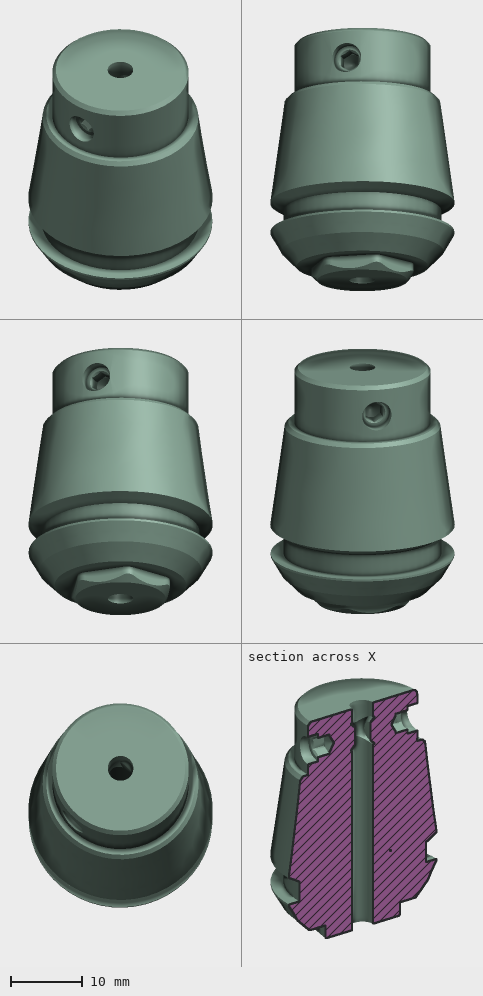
import cadquery as cq
import math

total_height = 34.0
body_bottom = 2.0
rim_corner_height = 4.15
rim_top = 7.0
sleeve_bottom = 10.0
sleeve_top = 26.0

top_diameter = 19.0
top_chamfer = 0.5
sleeve_top_radius = 10.85
sleeve_max_radius = 12.85
sleeve_chamfer = 0.5
neck_diameter = 22.0
rim_diameter = 25.6
rim_corner_radius = 11.32
bevel_angle = 30.0

hex_across_flats = 13.0
hex_corner_radius = 1.55
hex_bottom_radius = 6.3

bore_diameter = 3.57

screw_height = 29.68
screw_diameter = 4.15
screw_recess = 1.75
screw_tip_gap = 2.62
screw_tip_diameter = 2.72

socket_countersink = 3.05
socket_across_flats = 2.5
socket_depth = 2.0
socket_point_angle = 118.0


def turned_body():
    top_radius = top_diameter / 2
    neck_radius = neck_diameter / 2
    rim_radius = rim_diameter / 2
    slope = math.tan(math.radians(bevel_angle))
    sleeve_edge_height = sleeve_bottom + (sleeve_max_radius - neck_radius) * slope
    rim_edge_height = rim_corner_height + (rim_radius - rim_corner_radius) / slope
    bottom_radius = rim_corner_radius - (rim_corner_height - body_bottom)
    profile = [
        (0, body_bottom),
        (bottom_radius, body_bottom),
        (rim_corner_radius, rim_corner_height),
        (rim_radius, rim_edge_height),
        (rim_radius, rim_top),
        (neck_radius, rim_top),
        (neck_radius, sleeve_bottom),
        (sleeve_max_radius, sleeve_edge_height),
        (sleeve_top_radius, sleeve_top - sleeve_chamfer),
        (sleeve_top_radius - sleeve_chamfer, sleeve_top),
        (top_radius, sleeve_top),
        (top_radius, total_height - top_chamfer),
        (top_radius - top_chamfer, total_height),
        (0, total_height),
    ]
    return cq.Workplane("XZ").polyline(profile).close().revolve(360, (0, 0), (0, 1))


def hexagon():
    corner_diameter = hex_across_flats / math.cos(math.radians(30))
    prism = (
        cq.Workplane("XY")
        .polygon(6, corner_diameter)
        .extrude(body_bottom)
        .edges("|Z")
        .fillet(hex_corner_radius)
    )
    chamfer_cone = (
        cq.Workplane("XY")
        .circle(hex_bottom_radius)
        .extrude(body_bottom, taper=-45)
    )
    return prism.intersect(chamfer_cone)


def axial_bore():
    return cq.Workplane("XY").circle(bore_diameter / 2).extrude(total_height)


def revolve_about_y(profile):
    return cq.Workplane("XY").polyline(profile).close().revolve(360, (0, 0), (0, 1))


def screw_hole():
    """Plain hole for the -Y screw, from the cylinder surface to the bore axis."""
    return cq.Workplane("XZ").circle(screw_diameter / 2).extrude(top_diameter / 2)


def screw_socket(outer_end):
    socket_radius = socket_across_flats / 2
    countersink_radius = socket_countersink / 2
    socket_end = outer_end + socket_depth
    point_depth = socket_radius / math.tan(math.radians(socket_point_angle / 2))
    countersink = revolve_about_y(
        [(0, outer_end), (countersink_radius, outer_end), (0, outer_end + countersink_radius)]
    )
    hex_hole = (
        cq.Workplane("XZ", origin=(0, socket_end, 0))
        .transformed(rotate=(0, 0, 90))
        .polygon(6, socket_across_flats / math.cos(math.radians(30)))
        .extrude(socket_depth)
    )
    drill_point = revolve_about_y(
        [(0, socket_end), (socket_radius, socket_end), (0, socket_end + point_depth)]
    )
    return hex_hole.union(countersink).union(drill_point)


def set_screw():
    """The -Y screw, with its axis on Y."""
    outer_end = screw_recess - top_diameter / 2
    inner_end = -screw_tip_gap / 2
    radius = screw_diameter / 2
    tip_radius = screw_tip_diameter / 2
    cone_start = inner_end - (radius - tip_radius)
    shank = revolve_about_y(
        [
            (0, outer_end),
            (radius, outer_end),
            (radius, cone_start),
            (tip_radius, inner_end),
            (0, inner_end),
        ]
    )
    return shank.cut(screw_socket(outer_end))


def at_both_sides(part):
    raised = part.translate((0, 0, screw_height))
    return raised.union(raised.rotate((0, 0, 0), (0, 0, 1), 180))


housing = turned_body().union(hexagon()).cut(axial_bore()).cut(at_both_sides(screw_hole()))
result = housing.union(at_both_sides(set_screw()))